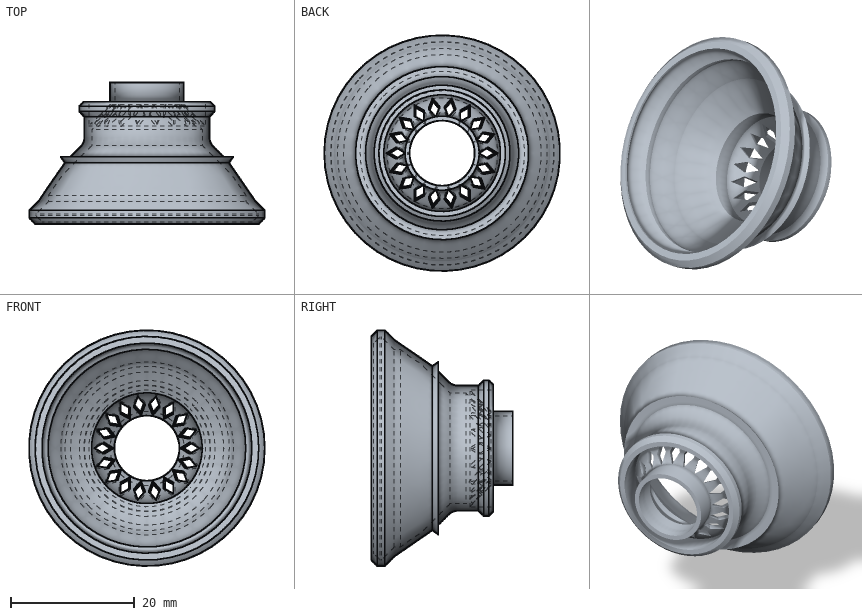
import cadquery as cq
import math


TOTAL_LENGTH = 22.94
BACK_FACE_Y = 19.8

RIM_RADIUS = 19.1
RIM_CHAMFER = 1.0
RIM_BAND_END_Y = 2.2
RIM_TAPER_END_Y = 3.8

FLANGE_RADIUS = 14.0
FLANGE_FRONT_Y = 9.9
FLANGE_BACK_Y = 10.9
FLANGE_ROOT_RADIUS = 13.3
SHOULDER_RADIUS = 12.4

NECK_RADIUS = 10.16
NECK_END_Y = 17.35
NECK_FILLET = 2.0
COLLAR_RADIUS = 11.0
COLLAR_FRONT_Y = 18.25
COLLAR_CHAMFER = 0.75

LIP_RADIUS = 17.0
LIP_LENGTH = 0.35
GROOVE_RADIUS = 18.04
GROOVE_BOTTOM_LENGTH = 0.25
SEAT_RADIUS = 16.0
SEAT_LENGTH = 1.0

FUNNEL_RADIUS = 13.7
FUNNEL_START_Y = 8.0
WELL_RADIUS = 8.96
FLOOR_EDGE_Y = 15.3

FLOOR_ANGLE = math.radians(45)
FLOOR_THICKNESS = 0.8
BORE_RADIUS = 5.25
TUBE_RADIUS = 6.0
RECESS_RADIUS = 9.45

OPENING_COUNT = 18
OPENING_INNER_RADIUS = 5.4
OPENING_OUTER_RADIUS = 8.46
OPENING_WIDTH = 1.84
OPENING_OVERSHOOT = 0.3


def floor_front_y(radius):
    """Axial position of the front of the conical floor at a given radius."""
    return FLOOR_EDGE_Y + (WELL_RADIUS - radius) * math.tan(FLOOR_ANGLE)


def floor_back_y(radius):
    """Axial position of the back of the conical floor at a given radius."""
    return floor_front_y(radius) + FLOOR_THICKNESS / math.cos(FLOOR_ANGLE)


def make_body():
    """Revolve the (radius, Y) half section about the Y axis."""
    rim_taper_radius = RIM_RADIUS - (RIM_TAPER_END_Y - RIM_BAND_END_Y)

    fillet_start_radius = NECK_RADIUS + NECK_FILLET * (1 - math.cos(math.pi / 4))
    fillet_start_y = FLANGE_BACK_Y + SHOULDER_RADIUS - fillet_start_radius
    fillet_end_y = fillet_start_y + NECK_FILLET * math.sin(math.pi / 4)
    fillet_middle_radius = NECK_RADIUS + NECK_FILLET * (1 - math.cos(math.pi / 8))
    fillet_middle_y = fillet_end_y - NECK_FILLET * math.sin(math.pi / 8)

    groove_front_y = LIP_LENGTH + GROOVE_RADIUS - LIP_RADIUS
    groove_back_y = groove_front_y + GROOVE_BOTTOM_LENGTH
    seat_front_y = groove_back_y + GROOVE_RADIUS - SEAT_RADIUS
    well_start_y = FUNNEL_START_Y + FUNNEL_RADIUS - WELL_RADIUS

    section = (
        cq.Workplane("XY")
        .moveTo(LIP_RADIUS, 0)
        .lineTo(RIM_RADIUS - RIM_CHAMFER, 0)
        .lineTo(RIM_RADIUS, RIM_CHAMFER)
        .lineTo(RIM_RADIUS, RIM_BAND_END_Y)
        .lineTo(rim_taper_radius, RIM_TAPER_END_Y)
        .lineTo(FLANGE_ROOT_RADIUS, FLANGE_FRONT_Y)
        .lineTo(FLANGE_RADIUS, FLANGE_BACK_Y)
        .lineTo(SHOULDER_RADIUS, FLANGE_BACK_Y)
        .lineTo(fillet_start_radius, fillet_start_y)
        .threePointArc((fillet_middle_radius, fillet_middle_y), (NECK_RADIUS, fillet_end_y))
        .lineTo(NECK_RADIUS, NECK_END_Y)
        .lineTo(COLLAR_RADIUS, COLLAR_FRONT_Y)
        .lineTo(COLLAR_RADIUS, BACK_FACE_Y - COLLAR_CHAMFER)
        .lineTo(COLLAR_RADIUS - COLLAR_CHAMFER, BACK_FACE_Y)
        .lineTo(RECESS_RADIUS, BACK_FACE_Y)
        .lineTo(RECESS_RADIUS, floor_back_y(RECESS_RADIUS))
        .lineTo(TUBE_RADIUS, floor_back_y(TUBE_RADIUS))
        .lineTo(TUBE_RADIUS, TOTAL_LENGTH)
        .lineTo(BORE_RADIUS, TOTAL_LENGTH)
        .lineTo(BORE_RADIUS, floor_front_y(BORE_RADIUS))
        .lineTo(WELL_RADIUS, FLOOR_EDGE_Y)
        .lineTo(WELL_RADIUS, well_start_y)
        .lineTo(FUNNEL_RADIUS, FUNNEL_START_Y)
        .lineTo(SEAT_RADIUS, seat_front_y + SEAT_LENGTH)
        .lineTo(SEAT_RADIUS, seat_front_y)
        .lineTo(GROOVE_RADIUS, groove_back_y)
        .lineTo(GROOVE_RADIUS, groove_front_y)
        .lineTo(LIP_RADIUS, LIP_LENGTH)
        .close()
    )
    return section.revolve(360, (0, 0, 0), (0, 1, 0))


def make_opening():
    """One diamond prism, square to the conical floor on the +X side."""
    middle_radius = (OPENING_INNER_RADIUS + OPENING_OUTER_RADIUS) / 2
    half_length = (OPENING_OUTER_RADIUS - OPENING_INNER_RADIUS) / 2 / math.cos(FLOOR_ANGLE)
    half_width = OPENING_WIDTH / 2
    floor_plane = cq.Plane(
        origin=(middle_radius, floor_front_y(middle_radius), 0),
        xDir=(math.cos(FLOOR_ANGLE), -math.sin(FLOOR_ANGLE), 0),
        normal=(math.sin(FLOOR_ANGLE), math.cos(FLOOR_ANGLE), 0),
    )
    diamond = [(-half_length, 0), (0, half_width), (half_length, 0), (0, -half_width)]
    return (
        cq.Workplane(floor_plane)
        .polyline(diamond)
        .close()
        .extrude(FLOOR_THICKNESS + OPENING_OVERSHOOT, both=True)
    )


result = make_body()
opening = make_opening()
for index in range(OPENING_COUNT):
    angle = index * 360 / OPENING_COUNT
    result = result.cut(opening.rotate((0, 0, 0), (0, 1, 0), angle))